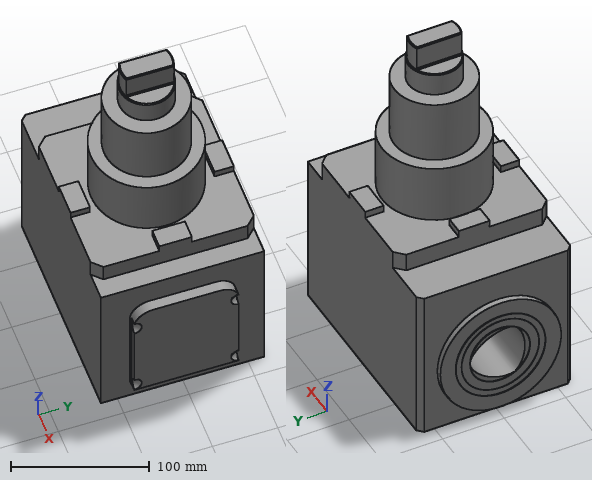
import cadquery as cq
import math

total_height = 281.0

housing_left = -96.5
housing_right = 77.5
housing_width = 125.0
housing_height = 126.2
housing_chamfer = 4.2

plate_size = housing_width
plate_top = 141.0
plate_chamfer = 7.3
key_width = 25.0
key_length = 15.0
key_top = 146.7

spindle_steps = [(85.0, 189.5), (65.0, 241.5), (42.0, 260.5)]
collar_chamfer = 0.8

tongue_thickness = 16.0
tongue_diameter = 40.0
tongue_chamfer = 0.8
tongue_foot_height = 1.5
tongue_foot_margin = 0.5

socket_height = 56.0
flange_left = -104.0
flange_diameter = 98.0
flange_thickness = 4.8
flange_neck_diameter = 89.0

face_steps = [(72.8, 0.5), (63.0, 0.8), (48.5, 1.5)]

bore_mean_radius = 22.35
bore_lobe_height = 2.02
bore_taper = 0.7
bore_depth = 45.0

cover_right = flange_left + 190.0
cover_base_half_width = 40.5
cover_outer_half_width = 40.0
cover_base_thickness = 2.5
cover_bottom = 14.3
cover_outer_bottom = 16.3
cover_rim_thickness = 4.2
cover_top = 106.0
cover_upper_radius = 15.2
cover_lower_chamfer = 2.5

recess_radius = 6.0
recess_offset = 1.7
recess_heights = (22.5, 89.4)


def x_disc(diameter, start, length):
    """Cylinder along +X on the socket axis."""
    plane = cq.Plane(origin=(start, 0, socket_height), xDir=(0, 1, 0), normal=(1, 0, 0))
    return cq.Workplane(plane).circle(diameter / 2).extrude(length)


def make_housing():
    length = housing_right - housing_left
    block = cq.Workplane("XY").box(length, housing_width, housing_height, centered=(False, True, False))
    return block.translate((housing_left, 0, 0)).edges("|Z and <X").chamfer(housing_chamfer)


def make_plate():
    plate = (
        cq.Workplane("XY", origin=(0, 0, housing_height))
        .rect(plate_size, plate_size)
        .extrude(plate_top - housing_height)
        .edges("|Z")
        .chamfer(plate_chamfer)
    )
    key = (
        cq.Workplane("XY", origin=((plate_size - key_length) / 2, 0, plate_top))
        .rect(key_length, key_width)
        .extrude(key_top - plate_top)
    )
    for quarter_turn in range(4):
        plate = plate.union(key.rotate((0, 0, 0), (0, 0, 1), 90 * quarter_turn))
    return plate


def make_spindle():
    bottom = plate_top
    spindle = cq.Workplane("XY")
    for diameter, top in spindle_steps:
        step = cq.Workplane("XY", origin=(0, 0, bottom)).circle(diameter / 2).extrude(top - bottom)
        spindle = spindle.union(step)
        bottom = top
    return spindle.faces(">Z").edges().chamfer(collar_chamfer)


def make_tongue(thickness, diameter, height):
    """Slab with rounded ends standing on the spindle collar."""
    base = cq.Workplane("XY", origin=(0, 0, spindle_steps[-1][1]))
    slab = base.rect(thickness, 2 * diameter).extrude(height)
    return base.circle(diameter / 2).extrude(height).intersect(slab)


def lobed_points(mean_radius, count=60):
    """Points of a constant-width three-lobed outline with one lobe toward +Y."""
    points = []
    for index in range(count):
        angle = 2 * math.pi * index / count
        support = mean_radius + bore_lobe_height * math.cos(3 * angle)
        slope = -3 * bore_lobe_height * math.sin(3 * angle)
        y = support * math.cos(angle) - slope * math.sin(angle)
        z = support * math.sin(angle) + slope * math.cos(angle)
        points.append((y, z))
    return points


def make_bore():
    return (
        cq.Workplane("YZ", origin=(flange_left, 0, socket_height))
        .spline(lobed_points(bore_mean_radius), periodic=True)
        .close()
        .workplane(offset=bore_depth)
        .spline(lobed_points(bore_mean_radius - bore_taper), periodic=True)
        .close()
        .loft()
    )


def cover_slab(half_width, bottom, start, end):
    """Rectangular slab from the given bottom to the top of the cover."""
    height = cover_top - bottom
    slab = cq.Workplane("XY").box(end - start, 2 * half_width, height, centered=(False, True, False))
    return slab.translate((start, 0, bottom))


def make_cover():
    base_end = housing_right + cover_base_thickness
    rim_end = housing_right + cover_rim_thickness
    outline = cover_slab(cover_base_half_width, cover_bottom, housing_right, cover_right)
    outline = outline.edges("|X and >Z").fillet(cover_upper_radius)
    outline = outline.edges("|X and <Z").chamfer(cover_lower_chamfer)
    layers = (
        cover_slab(cover_base_half_width, cover_bottom, housing_right, base_end)
        .union(cover_slab(cover_outer_half_width, cover_bottom, base_end, rim_end))
        .union(cover_slab(cover_outer_half_width, cover_outer_bottom, rim_end, cover_right))
    )
    cover = outline.intersect(layers)
    for side in (-1, 1):
        for height in recess_heights:
            center = (cover_right + recess_offset, side * cover_outer_half_width, height)
            cover = cover.cut(cq.Workplane("XY").sphere(recess_radius).translate(center))
    return cover


tongue_height = total_height - spindle_steps[-1][1]
tongue = make_tongue(tongue_thickness, tongue_diameter, tongue_height).edges(">Z").chamfer(tongue_chamfer)
tongue_foot = make_tongue(tongue_thickness + 2 * tongue_foot_margin, tongue_diameter, tongue_foot_height)

result = make_housing().union(make_plate()).union(make_spindle()).union(tongue_foot).union(tongue)
result = result.union(x_disc(flange_neck_diameter, flange_left, housing_left - flange_left))
result = result.union(x_disc(flange_diameter, flange_left, flange_thickness))
result = result.union(make_cover())
for step_diameter, step_depth in face_steps:
    result = result.cut(x_disc(step_diameter, flange_left, step_depth))
result = result.cut(make_bore())